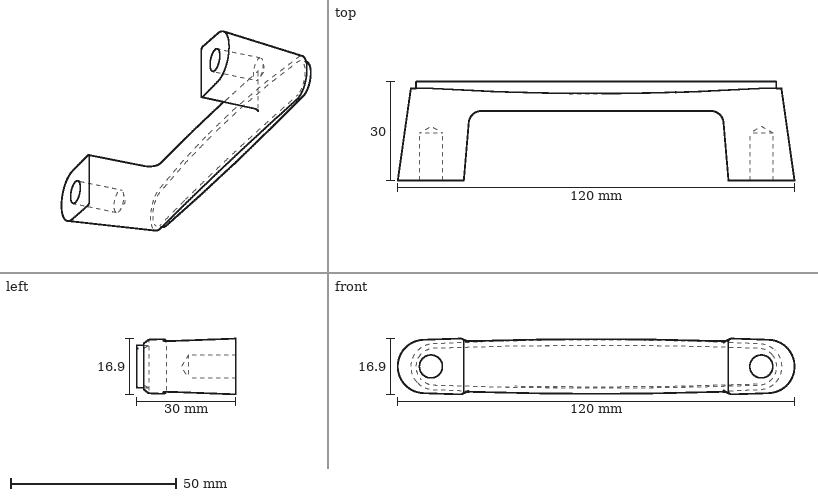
import cadquery as cq
import math

foot_half_length = 60.0
back_half_length = 56.0
back_y = 27.8

foot_shoulder_x = 52.2
foot_shoulder_z = 8.1
foot_middle_z = 9.06
back_shoulder_x = 49.3
back_shoulder_z = 7.0
back_middle_z = 8.1

grip_front_y = 21.0
opening_foot_x = 40.0
opening_top_x = 38.2
opening_corner_radius = 3.7
opening_edge_radius = 1.02

hollow_depth = 1.5

hole_x = 49.9
hole_diameter = 7.0
hole_depth = 14.4
drill_point_angle = 118.0

strip_half_length = 54.5
strip_back_y = 30.0
strip_shoulder_z = 5.58
strip_middle_z = 6.5
strip_edge_radius = 0.4

clearance = 6.0


def bulged_outline(plane, tip_x, shoulder_x, shoulder_z, middle_z):
    """Closed outline of two end arcs and two shallow bulging side arcs."""
    return (
        plane.moveTo(-shoulder_x, shoulder_z)
        .threePointArc((0, middle_z), (shoulder_x, shoulder_z))
        .threePointArc((tip_x, 0), (shoulder_x, -shoulder_z))
        .threePointArc((0, -middle_z), (-shoulder_x, -shoulder_z))
        .threePointArc((-tip_x, 0), (-shoulder_x, shoulder_z))
        .close()
    )


def plane_at(y):
    """Sketch plane parallel to XZ at the given Y."""
    return cq.Workplane("XZ", origin=(0, y, 0))


def make_blank():
    """Solid tapering from the foot outline to the back outline."""
    foot = bulged_outline(
        plane_at(0), foot_half_length, foot_shoulder_x, foot_shoulder_z, foot_middle_z
    )
    outlines = bulged_outline(
        foot.workplane(offset=-back_y),
        back_half_length, back_shoulder_x, back_shoulder_z, back_middle_z,
    )
    return outlines.loft(ruled=True, combine=True)


def make_opening():
    """Cutter for the space between the legs, with rounded inner corners."""
    slope = (opening_foot_x - opening_top_x) / grip_front_y
    mouth_x = opening_foot_x + slope * clearance
    half_depth = foot_middle_z + clearance
    return (
        cq.Workplane("XY", origin=(0, 0, -half_depth))
        .polyline([
            (-mouth_x, -clearance),
            (-opening_top_x, grip_front_y),
            (opening_top_x, grip_front_y),
            (mouth_x, -clearance),
        ])
        .close()
        .extrude(2 * half_depth)
        .edges("|Z and >Y")
        .fillet(opening_corner_radius)
    )


def make_hollow():
    """Curved segment scooped from the back face, deepest at the middle of the handle."""
    half_depth = foot_middle_z + clearance
    return (
        cq.Workplane("XY", origin=(0, 0, -half_depth))
        .moveTo(-back_shoulder_x, back_y)
        .threePointArc((0, back_y - hollow_depth), (back_shoulder_x, back_y))
        .close()
        .extrude(2 * half_depth)
    )


def make_hole(x):
    """Drilled hole with a conical bottom, entering a foot along +Y."""
    radius = hole_diameter / 2
    point_depth = radius / math.tan(math.radians(drill_point_angle / 2))
    return (
        cq.Workplane("XY", origin=(x, 0, 0))
        .polyline([
            (0, 0),
            (radius, 0),
            (radius, hole_depth),
            (0, hole_depth + point_depth),
        ])
        .close()
        .revolve(360, (0, 0, 0), (0, 1, 0))
    )


def make_handle():
    handle = make_blank().cut(make_opening())

    rim_margin = 0.1
    reach_x = opening_foot_x + rim_margin
    rim = cq.selectors.BoxSelector(
        (-reach_x, -rim_margin, -foot_middle_z),
        (reach_x, grip_front_y + rim_margin, foot_middle_z),
        boundingbox=True,
    )
    handle = handle.edges(rim).edges("not |Z").fillet(opening_edge_radius)

    handle = handle.cut(make_hollow())
    for side in (-1, 1):
        handle = handle.cut(make_hole(side * hole_x))
    return handle


def make_cover_strip():
    """Strip whose front face follows the handle's flat ends and curved hollow."""
    floor_y = back_y - hollow_depth
    outline = bulged_outline(
        plane_at(floor_y), strip_half_length, back_shoulder_x, strip_shoulder_z, strip_middle_z
    )
    strip = outline.extrude(floor_y - strip_back_y).faces(">Y").edges().fillet(strip_edge_radius)
    return strip.cut(make_blank().cut(make_hollow()))


handle = make_handle()
cover_strip = make_cover_strip()

result = cq.Compound.makeCompound([handle.val(), cover_strip.val()])